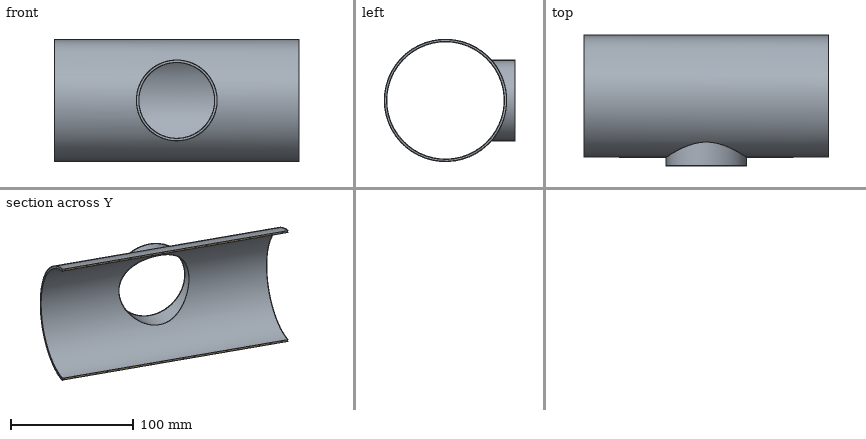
import cadquery as cq

pipe_length = 200.0
pipe_diameter = 100.0
wall = 2.0

branch_diameter = 66.0
branch_wall = 2.0
branch_reach = 57.0


def pipe_cylinder(diameter):
    """Full-length cylinder on the main axis, centred on the origin."""
    return cq.Workplane("YZ").circle(diameter / 2).extrude(pipe_length / 2, both=True)


def branch_cylinder(diameter):
    """Cylinder from the main axis out to the branch end."""
    return cq.Workplane("XZ").circle(diameter / 2).extrude(branch_reach)


outside = pipe_cylinder(pipe_diameter).union(branch_cylinder(branch_diameter))
pipe_bore = pipe_cylinder(pipe_diameter - 2 * wall)
branch_bore = branch_cylinder(branch_diameter - 2 * branch_wall)

result = outside.cut(pipe_bore).cut(branch_bore)